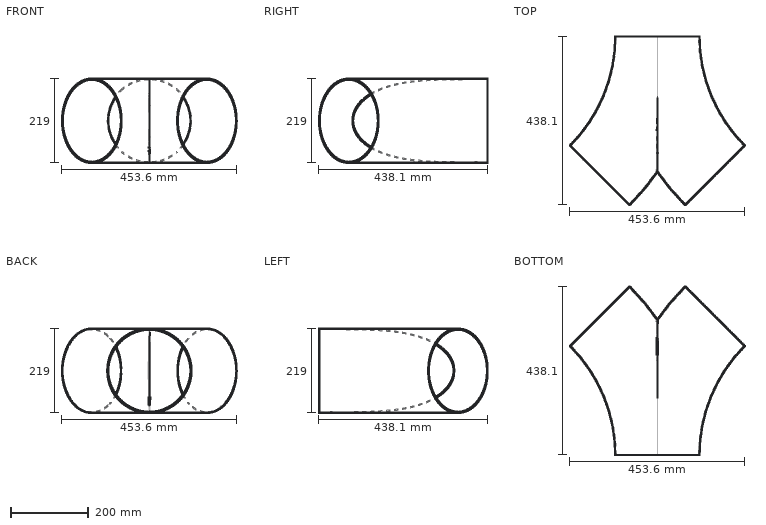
import cadquery as cq
import math

pipe_diameter = 219.0
wall = 3.0
bend_radius = 510.0
bend_angle = 45.0
seam_fillet_radius = 3.5

pipe_radius = pipe_diameter / 2
bore_radius = pipe_radius - wall

trim_block_size = 3 * bend_radius


def bent_bar(radius):
    """Solid round bar that starts at the shared mouth and curves from -Y toward +X."""
    bend_axis_start = (bend_radius, 0, 0)
    bend_axis_end = (bend_radius, 1, 0)
    return cq.Workplane("XZ").circle(radius).revolve(bend_angle, bend_axis_start, bend_axis_end)


def forked_bar(radius):
    """Two mirrored bent bars, each trimmed at X = 0 and joined there."""
    positive_x_block = cq.Workplane("XY").box(
        trim_block_size, trim_block_size, trim_block_size, centered=(False, True, True)
    )
    branch = bent_bar(radius).intersect(positive_x_block)
    return branch.union(branch.mirror("YZ"))


def round_seam(fork, radius, fillet_radius):
    """Round the curve on X = 0 where the two branches of a forked bar meet."""
    crotch_depth = math.sqrt((bend_radius + radius) ** 2 - bend_radius**2)
    tolerance = 0.5
    crotch_box = cq.selectors.BoxSelector(
        (-tolerance, -crotch_depth - tolerance, -pipe_diameter),
        (tolerance, tolerance, pipe_diameter),
        boundingbox=True,
    )
    return fork.edges(crotch_box).fillet(fillet_radius)


outside = forked_bar(pipe_radius)
bore = round_seam(forked_bar(bore_radius), bore_radius, seam_fillet_radius)
result = outside.cut(bore)